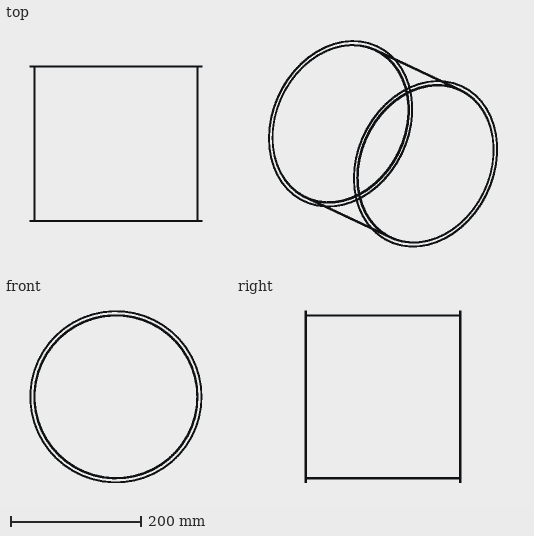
import cadquery as cq

bore_diameter = 249.0
wall_thickness = 1.0
tube_diameter = bore_diameter + 2 * wall_thickness
flange_diameter = 263.0
flange_thickness = 1.0
length = 238.0


def ring(outer_diameter, thickness, start_y):
    """Ring around the Y axis with the common bore, extending toward +Y from start_y."""
    return (
        cq.Workplane("XZ", origin=(0, start_y, 0))
        .circle(outer_diameter / 2)
        .circle(bore_diameter / 2)
        .extrude(-thickness)
    )


result = ring(tube_diameter, length, -length / 2)
for flange_start in (-length / 2, length / 2 - flange_thickness):
    result = result.union(ring(flange_diameter, flange_thickness, flange_start))